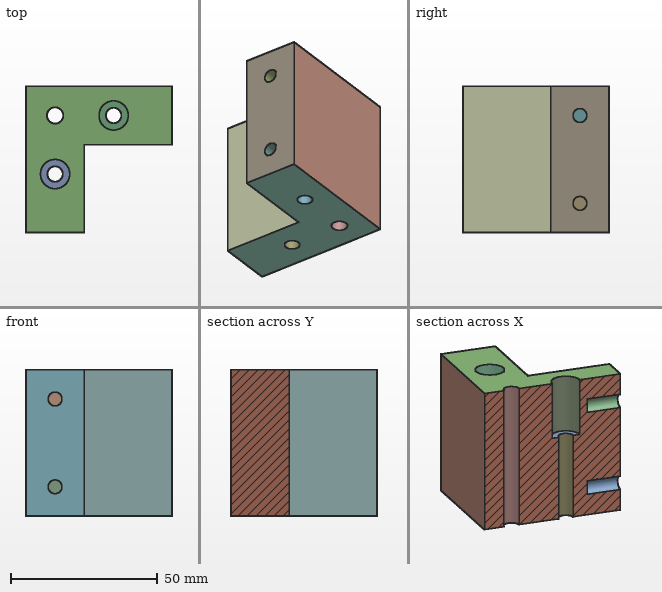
import cadquery as cq

side = 50.0
arm_width = 20.0
arm_middle = arm_width / 2

corner_hole_diameter = 5.5
screw_hole_diameter = 5.2
counterbore_diameter = 10.0
counterbore_depth = 20.0
screw_spacing = 20.0

end_hole_diameter = 4.7
end_hole_depth = 12.0
end_hole_inset = 10.0

corner_x = -side / 2 + arm_middle
corner_y = side / 2 - arm_middle
end_hole_height = side / 2 - end_hole_inset


def l_block():
    """Square block with the +X, -Y quadrant cut away, leaving two equal arms."""
    notch_size = side - arm_width
    notch_offset = arm_width / 2
    block = cq.Workplane("XY").box(side, side, side)
    notch = cq.Workplane("XY").box(notch_size, notch_size, side)
    return block.cut(notch.translate((notch_offset, -notch_offset, 0)))


def cut_vertical_holes(body):
    """Plain hole in the corner and one counterbored hole in each arm."""
    top = cq.Workplane("XY", origin=(0, 0, side / 2))
    corner_hole = top.center(corner_x, corner_y).circle(corner_hole_diameter / 2).extrude(-side)
    screw_points = [
        (corner_x + screw_spacing, corner_y),
        (corner_x, corner_y - screw_spacing),
    ]
    screws = top.pushPoints(screw_points)
    screw_holes = screws.circle(screw_hole_diameter / 2).extrude(-side)
    counterbores = screws.circle(counterbore_diameter / 2).extrude(-counterbore_depth)
    return body.cut(corner_hole).cut(screw_holes).cut(counterbores)


def cut_end_holes(body):
    """Upper and lower blind holes in the -Y end and, by symmetry, the +X end."""
    radius = end_hole_diameter / 2
    for z in (-end_hole_height, end_hole_height):
        y_end = cq.Vector(corner_x, -side / 2, z)
        x_end = cq.Vector(side / 2, corner_y, z)
        for start, inward in ((y_end, cq.Vector(0, 1, 0)), (x_end, cq.Vector(-1, 0, 0))):
            body = body.cut(cq.Solid.makeCylinder(radius, end_hole_depth, start, inward))
    return body


result = cut_end_holes(cut_vertical_holes(l_block()))